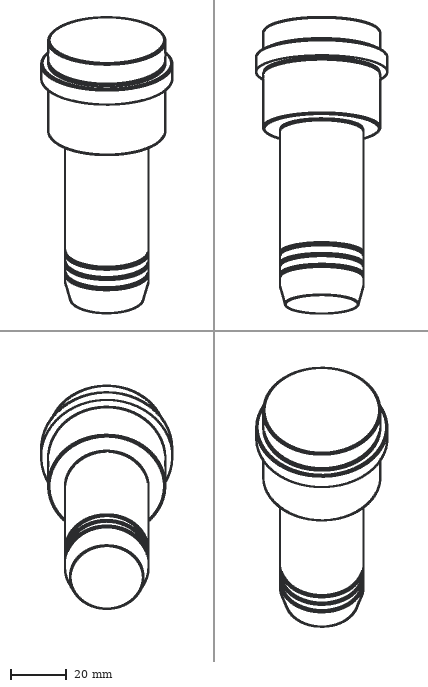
import cadquery as cq
import math

flange_radius = 23.5
head_radius = 21.0
shank_radius = 15.0

cap_length = 8.0
head_relief_length = 1.0
flange_length = 6.0
body_length = 21.0
shank_length = 58.0
tip_length = 7.0

edge_chamfer = 0.5
tip_chamfer = 0.2

relief_depth = 0.3
relief_neck_length = 0.3
shank_relief_length = 0.8

tip_half_angle = 15.0
tip_slope = math.tan(math.radians(tip_half_angle))
tip_end_radius = shank_radius - tip_length * tip_slope

groove_count = 3
groove_pitch = 4.0
groove_width = 1.2
groove_depth = 0.4
lowest_groove_above_tip = 3.5

shank_bottom = tip_length
body_bottom = shank_bottom + shank_length
flange_bottom = body_bottom + body_length
flange_top = flange_bottom + flange_length
cap_bottom = flange_top + head_relief_length
part_top = cap_bottom + cap_length


def head_relief(bottom, top):
    """Outline points of a head relief: a short neck under the shoulder, then a cone out to full size."""
    relief_radius = head_radius - relief_depth
    return [
        (head_radius, bottom),
        (relief_radius, top - relief_neck_length),
        (relief_radius, top),
    ]


def ring_groove(height):
    """Outline points of one V groove centred at the given height, from the bottom up."""
    half_width = groove_width / 2
    return [
        (shank_radius, height - half_width),
        (shank_radius - groove_depth, height),
        (shank_radius, height + half_width),
    ]


def tip_outline():
    """Lower end: a flat face, a broken edge and the taper up to the shank."""
    return [
        (0, 0),
        (tip_end_radius - tip_chamfer, 0),
        (tip_end_radius + tip_chamfer * tip_slope, tip_chamfer),
        (shank_radius, shank_bottom),
    ]


def shank_outline():
    """Shank with its ring grooves and the narrower neck under the body."""
    points = []
    for index in range(groove_count):
        points += ring_groove(shank_bottom + lowest_groove_above_tip + index * groove_pitch)
    relief_bottom = body_bottom - shank_relief_length
    relief_radius = shank_radius - relief_depth
    points += [
        (shank_radius, relief_bottom),
        (relief_radius, relief_bottom),
        (relief_radius, body_bottom),
    ]
    return points


def body_outline():
    """Body below the flange, with a chamfered lower edge."""
    relief_bottom = flange_bottom - head_relief_length
    return [
        (head_radius - edge_chamfer, body_bottom),
        (head_radius, body_bottom + edge_chamfer),
    ] + head_relief(relief_bottom, flange_bottom)


def flange_outline():
    """Flange with a square lower edge and a chamfered upper edge."""
    return [
        (flange_radius, flange_bottom),
        (flange_radius, flange_top - edge_chamfer),
        (flange_radius - edge_chamfer, flange_top),
    ]


def cap_outline():
    """Cap above the flange, with a chamfered top edge, closed to the axis."""
    return head_relief(flange_top, cap_bottom) + [
        (head_radius, cap_bottom),
        (head_radius, part_top - edge_chamfer),
        (head_radius - edge_chamfer, part_top),
        (0, part_top),
    ]


outline = tip_outline() + shank_outline() + body_outline() + flange_outline() + cap_outline()
result = cq.Workplane("XZ").polyline(outline).close().revolve(360, (0, 0, 0), (0, 1, 0))